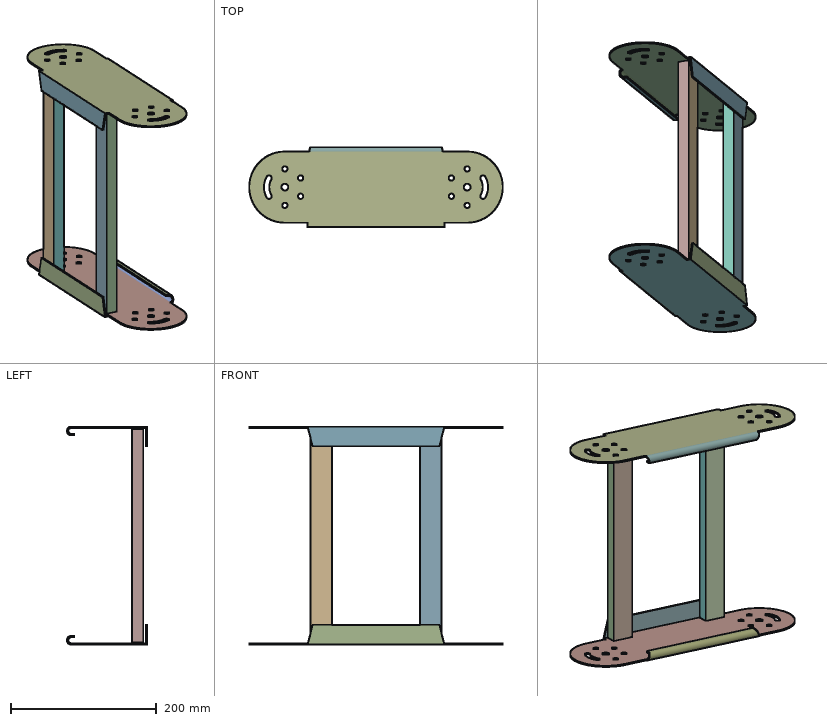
import cadquery as cq
import math

overall_height = 299.0
sheet = 2.0

end_radius = 49.0
pivot_x = 125.0

pivot_hole_diameter = 9.0
bolt_circle_radius = 25.0
bolt_hole_diameter = 7.0
bolt_angles = (-90, -30, 30, 90)
slot_width = 7.0
slot_half_angle = 30.0

flange_reach = 6.0
flange_height = 27.0
flange_base_half_width = 94.0
flange_tip_half_width = 86.8

hook_outer_radius = 6.0
hook_lip = 4.0
hook_base_half_width = 91.6
hook_tip_half_width = 86.4

post_width = 30.0
post_depth = 16.0
post_outer_x = 90.0
post_front_gap = 3.0
post_end_gap = 1.0

front_edge_y = -end_radius
flange_front_y = front_edge_y - flange_reach
rear_edge_y = end_radius
post_length = overall_height - 2 * (sheet + post_end_gap)
post_front_y = flange_front_y + sheet + post_front_gap


def arc_slot(centre_x, direction):
    """Cutter for the curved slot on the outer side of a pivot hole (direction is -1 or 1)."""
    inner = bolt_circle_radius - slot_width / 2
    outer = bolt_circle_radius + slot_width / 2

    def point(radius, angle):
        turn = math.radians(angle)
        return (centre_x + direction * radius * math.cos(turn), radius * math.sin(turn))

    def cap_point(side):
        end_x, end_y = point(bolt_circle_radius, side * slot_half_angle)
        turn = math.radians(slot_half_angle)
        return (
            end_x - direction * slot_width / 2 * math.sin(turn),
            end_y + side * slot_width / 2 * math.cos(turn),
        )

    return (
        cq.Workplane("XY")
        .moveTo(*point(outer, -slot_half_angle))
        .threePointArc(point(outer, 0), point(outer, slot_half_angle))
        .threePointArc(cap_point(1), point(inner, slot_half_angle))
        .threePointArc(point(inner, 0), point(inner, -slot_half_angle))
        .threePointArc(cap_point(-1), point(outer, -slot_half_angle))
        .close()
        .extrude(sheet)
    )


def flat_panel():
    """Flat panel with round ends and a hole pattern at each end."""
    panel = cq.Workplane("XY").slot2D(2 * (pivot_x + end_radius), 2 * end_radius).extrude(sheet)
    for direction in (-1, 1):
        centre_x = direction * pivot_x
        pivot_hole = cq.Workplane("XY").center(centre_x, 0).circle(pivot_hole_diameter / 2).extrude(sheet)
        bolt_points = [
            (
                centre_x - direction * bolt_circle_radius * math.cos(math.radians(angle)),
                bolt_circle_radius * math.sin(math.radians(angle)),
            )
            for angle in bolt_angles
        ]
        bolt_holes = cq.Workplane("XY").pushPoints(bolt_points).circle(bolt_hole_diameter / 2).extrude(sheet)
        panel = panel.cut(pivot_hole).cut(bolt_holes).cut(arc_slot(centre_x, direction))
    return panel


def end_trim(base_half_width, tip_half_width, height):
    """Tapered block, widest at the panel's outer face, that sets the slanted ends of a bent edge."""
    block_depth = 2 * (end_radius + max(flange_reach, hook_outer_radius))
    return (
        cq.Workplane("XZ")
        .polyline([
            (-base_half_width, 0),
            (base_half_width, 0),
            (tip_half_width, height),
            (-tip_half_width, height),
        ])
        .close()
        .extrude(block_depth / 2, both=True)
    )


def front_flange():
    """L-shaped front flange, narrowing towards its free edge."""
    flange = (
        cq.Workplane("YZ")
        .moveTo(front_edge_y, 0)
        .lineTo(flange_front_y, 0)
        .lineTo(flange_front_y, flange_height)
        .lineTo(flange_front_y + sheet, flange_height)
        .lineTo(flange_front_y + sheet, sheet)
        .lineTo(front_edge_y, sheet)
        .close()
        .extrude(flange_base_half_width, both=True)
    )
    return flange.intersect(end_trim(flange_base_half_width, flange_tip_half_width, flange_height))


def rear_hook():
    """Rear edge curled back over the panel by half a turn, narrowing towards its straight lip."""
    hook_top = 2 * hook_outer_radius
    lip_end_y = rear_edge_y - hook_lip
    hook = (
        cq.Workplane("YZ")
        .moveTo(rear_edge_y, 0)
        .threePointArc((rear_edge_y + hook_outer_radius, hook_outer_radius), (rear_edge_y, hook_top))
        .lineTo(lip_end_y, hook_top)
        .lineTo(lip_end_y, hook_top - sheet)
        .lineTo(rear_edge_y, hook_top - sheet)
        .threePointArc((rear_edge_y + hook_outer_radius - sheet, hook_outer_radius), (rear_edge_y, sheet))
        .close()
        .extrude(hook_base_half_width, both=True)
    )
    return hook.intersect(end_trim(hook_base_half_width, hook_tip_half_width, hook_top))


def bracket_plate():
    """Bent sheet plate lying on Z = 0, with its flange and hook pointing up."""
    return flat_panel().union(front_flange()).union(rear_hook())


def vertical_post(direction):
    """Rectangular post reaching from plate to plate (direction is -1 or 1)."""
    centre_x = direction * (post_outer_x - post_width / 2)
    return (
        cq.Workplane("XY", origin=(centre_x, post_front_y + post_depth / 2, sheet + post_end_gap))
        .rect(post_width, post_depth)
        .extrude(post_length)
    )


lower_plate = bracket_plate()
upper_plate = lower_plate.mirror("XY").translate((0, 0, overall_height))
posts = [vertical_post(direction) for direction in (-1, 1)]

result = cq.Compound.makeCompound([
    lower_plate.val(),
    upper_plate.val(),
    *[body.val() for body in posts],
])